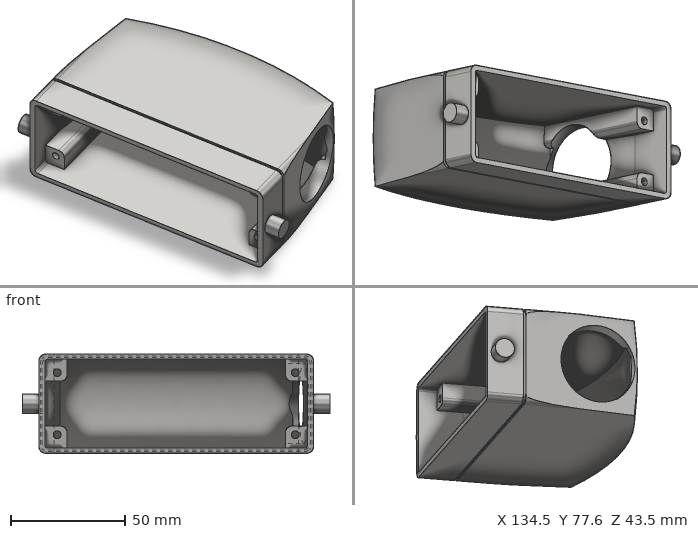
import cadquery as cq
import math

WIDTH = 120.2
HEIGHT = 43.5
DEPTH = 77.6
DOME_RADIUS = 180.2
CORNER_RADIUS = 3.2
WALL = 2.7
SIDE_WALL = 2.3
CAVITY_CORNER_RADIUS = 1.3

RIM_DEPTH = 16.3
GASKET_THICKNESS = 1.2
GASKET_INSET = 0.8
GROOVE_INSET = 1.5
HOOD_START = RIM_DEPTH + GASKET_THICKNESS

TAPER_ANGLE = 7.4
TAPER = math.tan(math.radians(TAPER_ANGLE))
INNER_TAPER_ANGLE = 7.9
INNER_TAPER = math.tan(math.radians(INNER_TAPER_ANGLE))
INNER_BEND_Y = 20.2

POST_START = 8.5
POST_INNER_X = 47.7
POST_INNER_Z = 9.8
POST_RADIUS = 2.8
SCREW_X = 52.0
SCREW_Z = 13.6
SCREW_DIAMETER = 3.4
SCREW_DEPTH = 13.5

ENTRY_DIAMETER = 35.0
ENTRY_Y = 51.1
ENTRY_REACH = 13.5

OVERALL_WIDTH = 134.5
PIN_DIAMETER = 8.6
PIN_Y = 5.9
PIN_SEAT = 1.3


def prism(width, height, radius, start, end):
    """Rounded rectangular block running along Y from start to end."""
    return (
        cq.Workplane("XZ", origin=(0, start, 0))
        .rect(width, height)
        .extrude(start - end)
        .edges("|Y")
        .fillet(radius)
    )


def envelope(inset, bend_y, taper):
    """Space between the tapered end walls and below the dome, offset inward."""
    half_width = WIDTH / 2 - inset
    top_half_width = half_width - taper * (DEPTH - bend_y)
    outline = (
        cq.Workplane("XY", origin=(0, 0, -HEIGHT / 2))
        .polyline([
            (-half_width, 0),
            (half_width, 0),
            (half_width, bend_y),
            (top_half_width, DEPTH),
            (-top_half_width, DEPTH),
            (-half_width, bend_y),
        ])
        .close()
        .extrude(HEIGHT)
    )
    dome = cq.Workplane("XY").sphere(DOME_RADIUS - inset).translate((0, DEPTH - DOME_RADIUS, 0))
    return outline.intersect(dome)


def make_cavity():
    block = prism(WIDTH - 2 * WALL, HEIGHT - 2 * SIDE_WALL, CAVITY_CORNER_RADIUS, 0, DEPTH)
    return block.intersect(envelope(WALL, INNER_BEND_Y, INNER_TAPER))


def make_post(side_x, side_z):
    """Square corner post with one rounded edge, kept inside the outer envelope."""
    size_x = (WIDTH - WALL) / 2 - POST_INNER_X
    size_z = (HEIGHT - SIDE_WALL) / 2 - POST_INNER_Z
    centre_x = side_x * (POST_INNER_X + size_x / 2)
    centre_z = side_z * (POST_INNER_Z + size_z / 2)
    inner_edge = ("<X" if side_x > 0 else ">X", "<Z" if side_z > 0 else ">Z")
    post = (
        cq.Workplane("XZ", origin=(0, POST_START, 0))
        .center(centre_x, centre_z)
        .rect(size_x, size_z)
        .extrude(POST_START - DEPTH)
        .faces(inner_edge[0])
        .edges(inner_edge[1])
        .fillet(POST_RADIUS)
    )
    return post.intersect(envelope(WALL / 2, HOOD_START, TAPER))


def make_screw_holes():
    return (
        cq.Workplane("XZ", origin=(0, POST_START, 0))
        .rect(2 * SCREW_X, 2 * SCREW_Z, forConstruction=True)
        .vertices()
        .circle(SCREW_DIAMETER / 2)
        .extrude(-SCREW_DEPTH)
    )


def make_cable_entry():
    angle = math.radians(TAPER_ANGLE)
    normal = cq.Vector(math.cos(angle), math.sin(angle), 0)
    wall_x = WIDTH / 2 - TAPER * (ENTRY_Y - HOOD_START)
    start = cq.Vector(wall_x, ENTRY_Y, 0) - normal * ENTRY_REACH
    return cq.Solid.makeCylinder(ENTRY_DIAMETER / 2, 2 * ENTRY_REACH, start, normal)


def make_pin(side):
    """Pin seated in a blind hole in the end wall."""
    seat_x = WIDTH / 2 - PIN_SEAT
    return cq.Solid.makeCylinder(
        PIN_DIAMETER / 2,
        OVERALL_WIDTH / 2 - seat_x,
        cq.Vector(side * seat_x, PIN_Y, 0),
        cq.Vector(side, 0, 0),
    )


def make_gasket():
    """Ring that fills the bottom of the groove, set back from the outer faces."""
    outer = prism(
        WIDTH - 2 * GASKET_INSET, HEIGHT - 2 * GASKET_INSET, CORNER_RADIUS, RIM_DEPTH, HOOD_START
    )
    return outer.cut(make_groove_floor())


def make_groove_floor():
    """Housing core left inside the groove."""
    return prism(
        WIDTH - 2 * GROOVE_INSET, HEIGHT - 2 * GROOVE_INSET, CORNER_RADIUS, RIM_DEPTH, HOOD_START
    )


def make_groove():
    band = cq.Workplane("XZ", origin=(0, RIM_DEPTH, 0)).rect(WIDTH, HEIGHT).extrude(-GASKET_THICKNESS)
    return band.cut(make_groove_floor())


def make_housing(pins):
    """Domed shell with corner posts, cable entry, gasket groove and pin seats."""
    block = prism(WIDTH, HEIGHT, CORNER_RADIUS, 0, DEPTH)
    shell = block.intersect(envelope(0, HOOD_START, TAPER)).cut(make_cavity())
    for side_x in (-1, 1):
        for side_z in (-1, 1):
            shell = shell.union(make_post(side_x, side_z))
    shell = shell.cut(make_screw_holes()).cut(cq.Workplane(make_cable_entry())).cut(make_groove())
    for pin in pins:
        shell = shell.cut(cq.Workplane(pin))
    return shell


pins = [make_pin(side) for side in (-1, 1)]
gasket = make_gasket()
housing = make_housing(pins)

result = cq.Compound.makeCompound([housing.val(), gasket.val(), *pins])